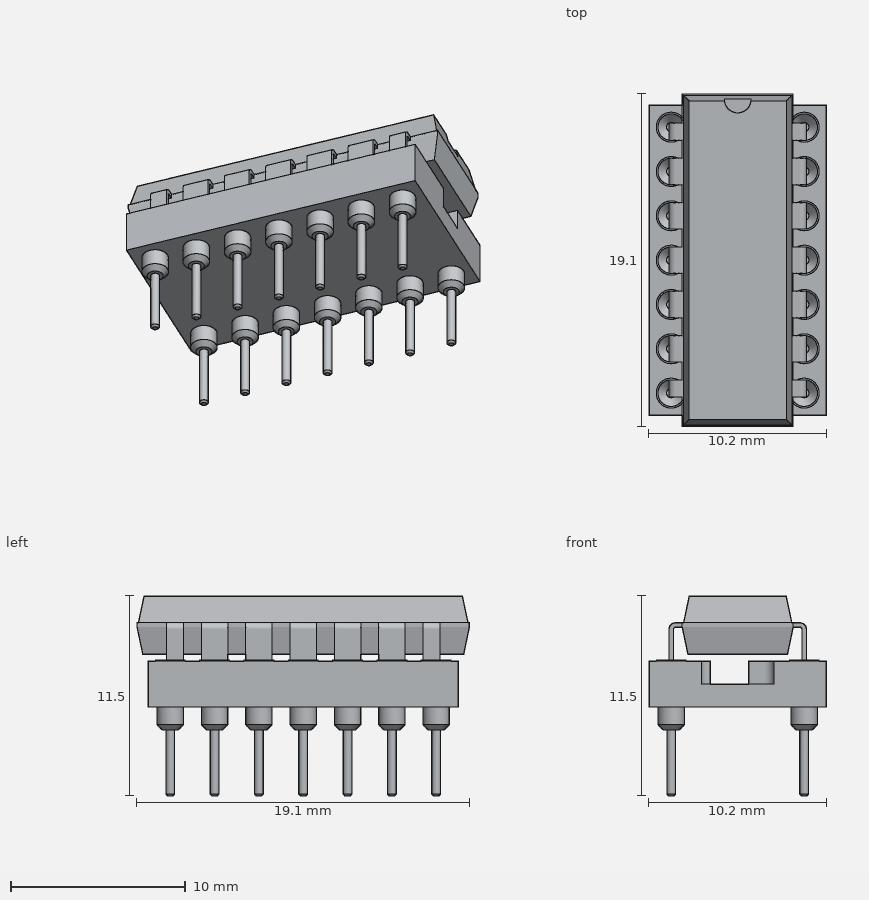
import cadquery as cq
import math

CHIP_LENGTH = 19.05
PINS_PER_ROW = 7
PITCH = CHIP_LENGTH / (PINS_PER_ROW + 0.5)
ROW_X = 1.5 * PITCH
PIN_YS = [(i - (PINS_PER_ROW - 1) / 2) * PITCH for i in range(PINS_PER_ROW)]

SOCKET_WIDTH = 4 * PITCH
SOCKET_LENGTH = PINS_PER_ROW * PITCH
SOCKET_HEIGHT = 2.63
SLOT_FLOOR_Z = SOCKET_HEIGHT / 2

MOUTH_WIDTH = 4.15
MOUTH_DEPTH = 1.1
MOUTH_CORNER_RADIUS = 0.51
CHANNEL_LEFT_X = MOUTH_CORNER_RADIUS - MOUTH_WIDTH / 2
CHANNEL_RIGHT_X = 0.63

FLANGE_RADIUS = 1.71 / 2
FLANGE_HEIGHT = 0.05
SLEEVE_RADIUS = 1.52 / 2
SLEEVE_BOTTOM_Z = -1.31
SLEEVE_CHAMFER = 0.3
PIN_RADIUS = 0.51 / 2
PIN_TIP_Z = -5.1
PIN_TIP_CHAMFER = 0.11
FUNNEL_RADIUS = 1.52 / 2
FUNNEL_DEPTH = 0.57
BORE_RADIUS = 0.53 / 2
CONTACT_TOP_Z = SOCKET_HEIGHT + FLANGE_HEIGHT
BORE_BOTTOM_Z = 0

CHIP_WIDTH = 6.36
CHIP_BOTTOM_Z = 3.03
CHIP_TOP_Z = 6.36
LEAD_THICKNESS = 0.27
BAND_BOTTOM_Z = 4.57
BAND_TOP_Z = BAND_BOTTOM_Z + LEAD_THICKNESS
UPPER_LEDGE = 0.08
TOP_INSET = 0.4
BOTTOM_INSET = 0.32
NOTCH_RADIUS = 1.52 / 2
NOTCH_CENTER_INSET = 0.32
NOTCH_DEPTH = 0.5

SHOULDER_HALF_WIDTH = 0.76
TAIL_HALF_WIDTH = 0.23
TAIL_TIP_Z = 0.38
LEAD_BEND_RADIUS = 0.38
LEAD_EMBEDDED_LENGTH = 0.38


def make_block():
    block = cq.Workplane("XY").box(
        SOCKET_WIDTH, SOCKET_LENGTH, SOCKET_HEIGHT, centered=(True, True, False)
    )
    front_y = -SOCKET_LENGTH / 2
    slot_height = SOCKET_HEIGHT - SLOT_FLOOR_Z
    mouth = (
        cq.Workplane("XY", origin=(0, front_y, SLOT_FLOOR_Z))
        .rect(MOUTH_WIDTH, 2 * MOUTH_DEPTH)
        .extrude(slot_height)
        .edges("|Z and >Y")
        .fillet(MOUTH_CORNER_RADIUS)
    )
    channel = (
        cq.Workplane("XY", origin=((CHANNEL_LEFT_X + CHANNEL_RIGHT_X) / 2, 0, SLOT_FLOOR_Z))
        .rect(CHANNEL_RIGHT_X - CHANNEL_LEFT_X, SOCKET_LENGTH)
        .extrude(slot_height)
    )
    return block.cut(mouth).cut(channel)


def make_contact():
    """Solid of revolution about Z, without its bore."""
    return (
        cq.Workplane("XZ")
        .moveTo(0, CONTACT_TOP_Z)
        .lineTo(FLANGE_RADIUS, CONTACT_TOP_Z)
        .lineTo(FLANGE_RADIUS, SOCKET_HEIGHT)
        .lineTo(SLEEVE_RADIUS, SOCKET_HEIGHT)
        .lineTo(SLEEVE_RADIUS, SLEEVE_BOTTOM_Z + SLEEVE_CHAMFER)
        .lineTo(SLEEVE_RADIUS - SLEEVE_CHAMFER, SLEEVE_BOTTOM_Z)
        .lineTo(PIN_RADIUS, SLEEVE_BOTTOM_Z)
        .lineTo(PIN_RADIUS, PIN_TIP_Z + PIN_TIP_CHAMFER)
        .lineTo(PIN_RADIUS - PIN_TIP_CHAMFER, PIN_TIP_Z)
        .lineTo(0, PIN_TIP_Z)
        .close()
        .revolve(360, (0, 0, 0), (0, 1, 0))
    )


def make_contact_bore():
    """Funnel at the contact's top, narrowing to a blind bore."""
    return (
        cq.Workplane("XZ")
        .moveTo(0, CONTACT_TOP_Z)
        .lineTo(FUNNEL_RADIUS, CONTACT_TOP_Z)
        .lineTo(BORE_RADIUS, CONTACT_TOP_Z - FUNNEL_DEPTH)
        .lineTo(BORE_RADIUS, BORE_BOTTOM_Z)
        .lineTo(0, BORE_BOTTOM_Z)
        .close()
        .revolve(360, (0, 0, 0), (0, 1, 0))
    )


def make_socket():
    socket = make_block()
    contact = make_contact()
    bore = make_contact_bore()
    for x in (-ROW_X, ROW_X):
        for y in PIN_YS:
            socket = socket.union(contact.translate((x, y, 0)))
            socket = socket.cut(bore.translate((x, y, 0)))
    return socket


def chip_rect(z, inset):
    return (
        cq.Workplane("XY", origin=(0, 0, z))
        .rect(CHIP_WIDTH - 2 * inset, CHIP_LENGTH - 2 * inset)
    )


def make_frustum(z_start, inset_start, z_end, inset_end):
    """Four-sided frustum between two levels, each inset from the chip's outer edge."""
    return (
        chip_rect(z_start, inset_start)
        .workplane(offset=z_end - z_start)
        .rect(CHIP_WIDTH - 2 * inset_end, CHIP_LENGTH - 2 * inset_end)
        .loft(ruled=True)
    )


def make_chip_package():
    band = chip_rect(BAND_BOTTOM_Z, 0).extrude(LEAD_THICKNESS)
    lower = make_frustum(BAND_BOTTOM_Z, 0, CHIP_BOTTOM_Z, BOTTOM_INSET)
    upper = make_frustum(BAND_TOP_Z, UPPER_LEDGE, CHIP_TOP_Z, TOP_INSET)
    notch_y = CHIP_LENGTH / 2 - NOTCH_CENTER_INSET
    notch = (
        cq.Workplane("XY", origin=(0, notch_y, CHIP_TOP_Z - NOTCH_DEPTH))
        .moveTo(-NOTCH_RADIUS, 0)
        .threePointArc((0, -NOTCH_RADIUS), (NOTCH_RADIUS, 0))
        .lineTo(NOTCH_RADIUS, NOTCH_CENTER_INSET)
        .lineTo(-NOTCH_RADIUS, NOTCH_CENTER_INSET)
        .close()
        .extrude(NOTCH_DEPTH)
    )
    return band.union(lower).union(upper.cut(notch))


def make_lead(south_half_width, north_half_width):
    """Lead of the +X row at Y = 0, bent down from the chip's side into the contact."""
    outer_x = ROW_X + LEAD_THICKNESS / 2
    inner_x = outer_x - LEAD_THICKNESS
    root_x = CHIP_WIDTH / 2 - LEAD_EMBEDDED_LENGTH
    bend_x = outer_x - LEAD_BEND_RADIUS
    bend_z = BAND_TOP_Z - LEAD_BEND_RADIUS
    inner_bend_radius = LEAD_BEND_RADIUS - LEAD_THICKNESS
    diagonal = math.sqrt(0.5)
    strip = (
        cq.Workplane("XZ", origin=(0, north_half_width, 0))
        .moveTo(root_x, BAND_TOP_Z)
        .lineTo(bend_x, BAND_TOP_Z)
        .threePointArc(
            (bend_x + LEAD_BEND_RADIUS * diagonal, bend_z + LEAD_BEND_RADIUS * diagonal),
            (outer_x, bend_z),
        )
        .lineTo(outer_x, CONTACT_TOP_Z)
        .lineTo(inner_x, CONTACT_TOP_Z)
        .lineTo(inner_x, bend_z)
        .threePointArc(
            (bend_x + inner_bend_radius * diagonal, bend_z + inner_bend_radius * diagonal),
            (bend_x, BAND_BOTTOM_Z),
        )
        .lineTo(root_x, BAND_BOTTOM_Z)
        .close()
        .extrude(south_half_width + north_half_width)
    )
    tail = (
        cq.Workplane("XY", origin=(ROW_X, 0, TAIL_TIP_Z))
        .rect(LEAD_THICKNESS, 2 * TAIL_HALF_WIDTH)
        .extrude(CONTACT_TOP_Z - TAIL_TIP_Z)
    )
    return strip.union(tail)


def make_chip():
    chip = make_chip_package()
    for y in PIN_YS:
        south_half_width = TAIL_HALF_WIDTH if y == PIN_YS[0] else SHOULDER_HALF_WIDTH
        north_half_width = TAIL_HALF_WIDTH if y == PIN_YS[-1] else SHOULDER_HALF_WIDTH
        lead = make_lead(south_half_width, north_half_width).translate((0, y, 0))
        chip = chip.union(lead).union(lead.mirror("YZ"))
    return chip


socket = make_socket()
chip = make_chip()

result = cq.Compound.makeCompound([socket.solids().val(), chip.solids().val()])